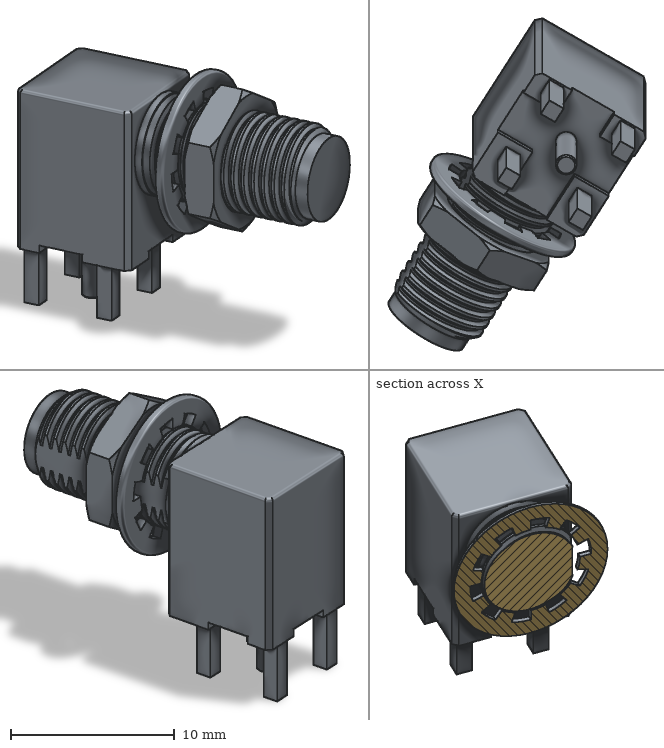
import cadquery as cq
import math

block_length = 7.95
block_width = 7.92
block_height = 10.5
pin_to_back = 3.17
corner_chamfer = 0.34
top_fillet = 0.25
channel_width = 3.0
channel_depth = 0.5

leg_pitch = 5.08
leg_size = 1.02
leg_length = 3.9
pin_diameter = 1.27
pin_chamfer = 0.1

axis_height = 7.1
overall_length = 19.69
flange_diameter = 6.5
flange_length = 0.5
collar_length = 0.5
nose_diameter = 5.35
nose_length = 0.85
barrel_flat_offset = 2.77

inch = 25.4
thread_diameter = inch / 4
thread_root_diameter = 5.75
thread_pitch = inch / 36
thread_crest_width = 0.2
thread_flank_angle = 30
thread_turns = 15
relief_length = 0.41
ridge_lead = 0.4
ridge_embed = 0.1

washer_diameter = 10.2
washer_bore = 6.5
washer_thickness = 0.6
washer_fillet = 0.2
washer_gap_diameter = 8.0
tooth_count = 10

nut_across_flats = 8.15
nut_thickness = 2.0
nut_face_diameter = 8.55
nut_chamfer_angle = 30

back_x = -pin_to_back
flange_x = back_x + block_length
collar_x = flange_x + flange_length
relief_x = collar_x + collar_length
ridge_x = relief_x - ridge_lead
washer_x = 7.18
nut_x = 8.74
tip_x = back_x + overall_length
nose_x = tip_x - nose_length

crest_radius = thread_diameter / 2
root_radius = thread_root_diameter / 2
nose_radius = nose_diameter / 2
trim_radius = crest_radius + 0.2
flank_slope = math.tan(math.radians(thread_flank_angle))


def rod(x, length, diameter):
    """Cylinder on the barrel axis, from x towards +X."""
    return cq.Workplane("YZ", origin=(x, 0, axis_height)).circle(diameter / 2).extrude(length)


def ring(profile):
    """Solid of revolution about the barrel axis from (x, radius) points."""
    return (
        cq.Workplane("XZ", origin=(0, 0, axis_height))
        .polyline(profile)
        .close()
        .revolve(360, (0, 0, 0), (1, 0, 0))
    )


def make_block():
    block = (
        cq.Workplane("XY", origin=(back_x + block_length / 2, 0, 0))
        .rect(block_length, block_width)
        .extrude(block_height)
        .edges("|Z")
        .chamfer(corner_chamfer)
        .faces(">Z")
        .edges()
        .fillet(top_fillet)
    )
    span = 2 * block_length + block_width
    along_x = cq.Workplane("XY").rect(span, channel_width).extrude(channel_depth)
    along_y = cq.Workplane("XY").rect(channel_width, span).extrude(channel_depth)
    return block.cut(along_x).cut(along_y)


def make_legs():
    return (
        cq.Workplane("XY")
        .rect(leg_pitch, leg_pitch, forConstruction=True)
        .vertices()
        .rect(leg_size, leg_size)
        .extrude(-leg_length)
    )


def make_pin():
    return (
        cq.Workplane("XY", origin=(0, 0, channel_depth))
        .circle(pin_diameter / 2)
        .extrude(-leg_length - channel_depth)
        .faces("<Z")
        .chamfer(pin_chamfer)
    )


def make_thread_ridge():
    """Right-handed helical ridge around the barrel axis, starting straight below it at ridge_x."""
    base_radius = root_radius - ridge_embed
    crest_half = thread_crest_width / 2
    base_half = crest_half + (crest_radius - base_radius) * flank_slope
    helix = cq.Wire.makeHelix(thread_pitch, thread_turns * thread_pitch, base_radius)
    ridge = (
        cq.Workplane("XZ")
        .moveTo(base_radius, -base_half)
        .lineTo(crest_radius, -crest_half)
        .lineTo(crest_radius, crest_half)
        .lineTo(base_radius, base_half)
        .close()
        .sweep(cq.Workplane(obj=helix), isFrenet=True)
    )
    return ridge.rotate((0, 0, 0), (0, 1, 0), 90).translate((ridge_x, 0, axis_height))


def make_relief_trim():
    """Ring that takes away the ridge behind the relief groove, ending in a thread flank."""
    inner_radius = root_radius - 2 * ridge_embed
    thread_x = relief_x + relief_length
    start_x = ridge_x - thread_pitch
    return ring([
        (thread_x - (crest_radius - inner_radius) * flank_slope, inner_radius),
        (thread_x + (trim_radius - crest_radius) * flank_slope, trim_radius),
        (start_x, trim_radius),
        (start_x, inner_radius),
    ])


def make_nose_trim():
    """Ring that turns the front down to the nose diameter behind a 45 degree cone."""
    end_x = tip_x + thread_pitch
    return ring([
        (nose_x, nose_radius),
        (end_x, nose_radius),
        (end_x, trim_radius),
        (nose_x - (trim_radius - nose_radius), trim_radius),
    ])


def make_collar():
    """Collar at crest diameter with a cone down to the floor of the relief groove."""
    cone_end_x = relief_x + (crest_radius - root_radius) * flank_slope
    return ring([
        (collar_x, 0),
        (collar_x, crest_radius),
        (relief_x, crest_radius),
        (cone_end_x, root_radius),
        (cone_end_x, 0),
    ])


def make_barrel():
    core = rod(relief_x, tip_x - relief_x, thread_root_diameter)
    ridge = make_thread_ridge().cut(make_relief_trim())
    threaded = core.union(ridge).cut(make_nose_trim())
    flat_cut = (
        cq.Workplane("XY", origin=(collar_x, barrel_flat_offset, axis_height))
        .box(tip_x - collar_x, thread_diameter, 2 * thread_diameter, centered=(False, False, True))
    )
    flange = rod(flange_x, flange_length, flange_diameter)
    return threaded.union(make_collar()).cut(flat_cut).union(flange)


def make_housing():
    return make_block().union(make_legs()).union(make_pin()).union(make_barrel())


def make_tooth_gap():
    """Radial gap between two washer teeth, centred straight above the axis."""
    half_angle = math.radians(90 / tooth_count)
    side_y = washer_diameter * math.sin(half_angle)
    side_z = washer_diameter * math.cos(half_angle)
    wedge = (
        cq.Workplane("YZ", origin=(washer_x, 0, axis_height))
        .polyline([(0, 0), (side_y, side_z), (-side_y, side_z)])
        .close()
        .extrude(washer_thickness)
    )
    return wedge.intersect(rod(washer_x, washer_thickness, washer_gap_diameter))


def make_washer():
    """Internal-tooth lock washer; teeth and gaps have equal angles."""
    washer = rod(washer_x, washer_thickness, washer_diameter).edges().fillet(washer_fillet)
    washer = washer.cut(rod(washer_x, washer_thickness, washer_bore))
    gap = make_tooth_gap()
    tooth_step = 360 / tooth_count
    first_angle = -tooth_step / 4
    for i in range(tooth_count):
        angle = first_angle + i * tooth_step
        washer = washer.cut(gap.rotate((0, 0, axis_height), (1, 0, axis_height), angle))
    return washer


def make_nut():
    corner_diameter = nut_across_flats / math.cos(math.pi / 6)
    hexagon = (
        cq.Workplane("YZ", origin=(nut_x, 0, axis_height))
        .transformed(rotate=(0, 0, 90))
        .polygon(6, corner_diameter)
        .extrude(nut_thickness)
    )
    corner_rise = (corner_diameter - nut_face_diameter) / 2
    chamfer_depth = corner_rise * math.tan(math.radians(nut_chamfer_angle))
    cone = rod(nut_x, nut_thickness, corner_diameter).edges().chamfer(chamfer_depth, corner_rise)
    return hexagon.intersect(cone).cut(rod(nut_x, nut_thickness, thread_diameter))


housing = make_housing()
washer = make_washer()
nut = make_nut()

result = cq.Compound.makeCompound([housing.val(), washer.val(), nut.val()])